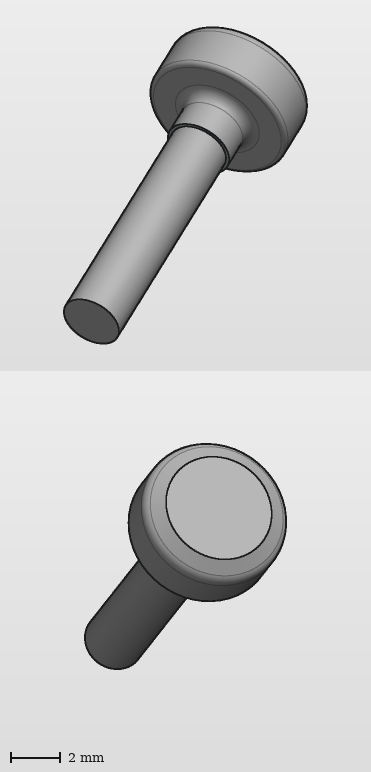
import cadquery as cq
import math

total_length = 14.7
head_diameter = 6.1
head_length = 2.7
collar_diameter = 2.73
collar_end = 4.48
shank_diameter = 2.45

crown_depth = 0.76
crown_angle = 60.0
crown_round = 0.5
rim_round = 0.2
neck_fillet = 0.5

head_radius = head_diameter / 2
collar_radius = collar_diameter / 2
shank_radius = shank_diameter / 2
head_under = total_length - head_length
collar_start = total_length - collar_end

crown_turn = math.radians(crown_angle)
crown_start = total_length - crown_depth
crown_center = head_radius - crown_round


def crown_point(angle):
    """Point on the crown round, at an angle measured from the side of the head."""
    return (
        crown_center + crown_round * math.cos(angle),
        crown_start + crown_round * math.sin(angle),
    )


chamfer_radius, chamfer_start = crown_point(crown_turn)
face_radius = chamfer_radius - (total_length - chamfer_start) * math.tan(crown_turn)

profile = (
    cq.Workplane("XY")
    .lineTo(shank_radius, 0)
    .lineTo(shank_radius, collar_start)
    .lineTo(collar_radius, collar_start)
    .lineTo(collar_radius, head_under - neck_fillet)
    .radiusArc((collar_radius + neck_fillet, head_under), neck_fillet)
    .lineTo(head_radius - rim_round, head_under)
    .radiusArc((head_radius, head_under + rim_round), -rim_round)
    .lineTo(head_radius, crown_start)
    .threePointArc(crown_point(crown_turn / 2), (chamfer_radius, chamfer_start))
    .lineTo(face_radius, total_length)
    .lineTo(0, total_length)
    .close()
)

result = profile.revolve(360, (0, 0, 0), (0, 1, 0))